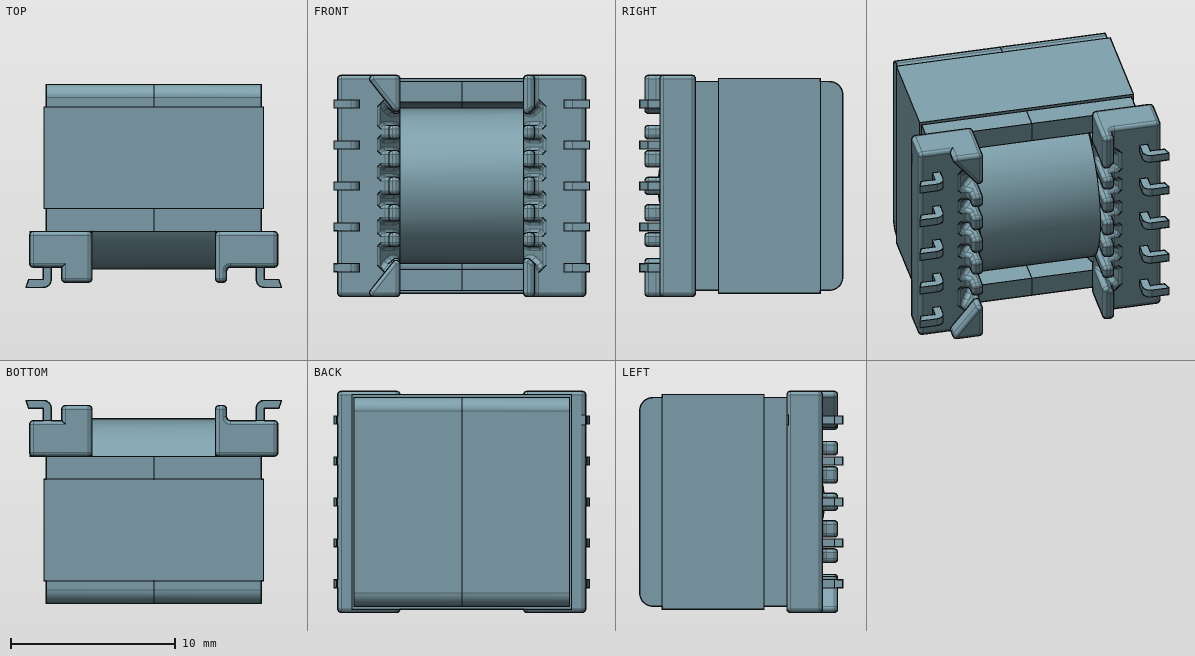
import cadquery as cq
import math


CORE_HALF_LENGTH = 6.57
CORE_HALF_HEIGHT = 6.36
CORE_BACK_Y = 6.54
CORE_FRONT_Y = -2.43
CORE_CORNER_RADIUS = 0.81
CAVITY_RADIUS = 5.1
POST_RADIUS = 2.18

TAPE_END_THICKNESS = 0.12
TAPE_SIDE_THICKNESS = 0.19
TAPE_BACK_Y = 5.16
TAPE_FRONT_Y = -1.05

COIL_RADIUS = 4.75
COIL_HALF_LENGTH = 3.76

TUBE_RADIUS = 2.65
FLANGE_RADIUS = 5.09
FLANGE_THICKNESS = 0.69
EDGE_RADIUS = 0.23
BLOCK_END_X = 7.57
BLOCK_HALF_HEIGHT = 6.747
BLOCK_FRONT_Y = -4.62
FOOT_Y = -5.54
TAB_WIDTH = 0.62
TAB_Z = 4.99
TAB_INSET = 0.03
WEDGE_OUTER_X = 5.87
WEDGE_TIP_Z = 4.1
WEDGE_ROOT_Y = -2.96

SLOT_OUTER_X = 5.02
SLOT_DEEP_Y = -2.96
SLOT_SPANS = [(0.53, 1.14), (2.15, 2.85)]
SLOT_SLOPE = (SLOT_DEEP_Y - BLOCK_FRONT_Y) / (SLOT_OUTER_X - COIL_HALF_LENGTH)
CORNER_SLOT_LOW_Z = 3.7
CORNER_SLOT_INNER_Z = 4.12
CORNER_SLOT_MOUTH_TOP_Z = 5.62
MOUTH_CORNER_SIZE = 0.22
CORNER_SLOT_MOUTH_CORNER_SIZE = 0.78
MOUTH_CORNER_DEPTH = 0.47
CORNER_SLOT_ANGLE = 42.0

PIN_THICKNESS = 0.5
PIN_PITCH = 2.5
PIN_COUNT = 5
PIN_INNER_X = 6.24
PIN_TIP_X = 7.8
PIN_TIP_SLANT = 0.17
PIN_BOTTOM_Y = -5.85

FLANGE_OUTER_X = COIL_HALF_LENGTH + FLANGE_THICKNESS
LEFT, RIGHT = -1, 1
TOLERANCE = 0.01


def x_cylinder(radius, start_x, end_x):
    return cq.Workplane("YZ").workplane(offset=start_x).circle(radius).extrude(end_x - start_x)


def box_between(x_range, y_range, z_range):
    size = [high - low for low, high in (x_range, y_range, z_range)]
    corner = cq.Vector(x_range[0], y_range[0], z_range[0])
    return cq.Workplane(cq.Solid.makeBox(*size, pnt=corner))


def mirror_x(shape):
    return shape.mirror("YZ")


def mirror_z(shape):
    return shape.mirror("XY")



def make_core_half(side):
    """Half of the core: a block with a U-shaped winding cavity and a round centre post."""
    core = box_between((0, CORE_HALF_LENGTH), (CORE_FRONT_Y, CORE_BACK_Y), (-CORE_HALF_HEIGHT, CORE_HALF_HEIGHT))
    core = core.edges("|X and >Y").fillet(CORE_CORNER_RADIUS)
    cavity = x_cylinder(CAVITY_RADIUS, 0, FLANGE_OUTER_X).union(
        box_between((0, FLANGE_OUTER_X), (CORE_FRONT_Y, 0), (-CAVITY_RADIUS, CAVITY_RADIUS))
    )
    core = core.cut(cavity).union(x_cylinder(POST_RADIUS, 0, CORE_HALF_LENGTH))
    return core if side == RIGHT else mirror_x(core)



def make_tape():
    width = TAPE_BACK_Y - TAPE_FRONT_Y
    outer_x = 2 * (CORE_HALF_LENGTH + TAPE_END_THICKNESS)
    outer_z = 2 * (CORE_HALF_HEIGHT + TAPE_SIDE_THICKNESS)
    return (
        cq.Workplane("XZ", origin=(0, TAPE_BACK_Y, 0))
        .rect(outer_x, outer_z)
        .rect(2 * CORE_HALF_LENGTH, 2 * CORE_HALF_HEIGHT)
        .extrude(width)
    )



def make_coil():
    coil = x_cylinder(COIL_RADIUS, -COIL_HALF_LENGTH, COIL_HALF_LENGTH)
    return coil.cut(x_cylinder(TUBE_RADIUS, -COIL_HALF_LENGTH, COIL_HALF_LENGTH))



def make_slot_cutter(low_z, high_z):
    margin = 0.78
    outline = [
        (COIL_HALF_LENGTH - margin, SLOT_DEEP_Y + margin * SLOT_SLOPE),
        (SLOT_OUTER_X, BLOCK_FRONT_Y),
        (SLOT_OUTER_X, FOOT_Y - margin),
        (COIL_HALF_LENGTH - margin, FOOT_Y - margin),
    ]
    return cq.Workplane("XY", origin=(0, 0, low_z)).polyline(outline).close().extrude(high_z - low_z)


def make_corner_slot_cutter():
    margin = 0.78
    rise = math.tan(math.radians(CORNER_SLOT_ANGLE))
    start_x = COIL_HALF_LENGTH - margin
    end_x = SLOT_OUTER_X + margin
    outline = [
        (start_x, CORNER_SLOT_LOW_Z),
        (end_x, CORNER_SLOT_LOW_Z),
        (end_x, CORNER_SLOT_INNER_Z + rise * (end_x - COIL_HALF_LENGTH)),
        (start_x, CORNER_SLOT_INNER_Z - rise * margin),
    ]
    wedge = cq.Workplane("XZ").polyline(outline).close().extrude(-2 * FOOT_Y, both=True)
    return make_slot_cutter(CORNER_SLOT_LOW_Z, BLOCK_HALF_HEIGHT).intersect(wedge)


def is_floor_side(edge):
    """True for straight edges that run up the sloped floor of a slot, where it meets a side wall."""
    if edge.geomType() != "LINE":
        return False
    run = edge.endPoint() - edge.startPoint()
    return abs(run.x) > TOLERANCE and abs(run.y / run.x + SLOT_SLOPE) < TOLERANCE


def make_mouth_corner(corner_z, size, direction):
    """Prism that cuts the corner of a slot mouth at 45 degrees; direction is the Z sense away from the slot."""
    overlap = 0.08
    mouth_x = SLOT_OUTER_X + EDGE_RADIUS * math.tan(math.atan(SLOT_SLOPE) / 2)
    outer_x = mouth_x + overlap
    outer_z = corner_z + direction * overlap
    leg = size + 2 * overlap
    return (
        cq.Workplane("XZ", origin=(0, BLOCK_FRONT_Y + MOUTH_CORNER_DEPTH, 0))
        .polyline([(outer_x, outer_z), (outer_x - leg, outer_z), (outer_x, outer_z - direction * leg)])
        .close()
        .extrude(MOUTH_CORNER_DEPTH)
    )


def make_mouth_corners():
    corners = [make_mouth_corner(CORNER_SLOT_MOUTH_TOP_Z, CORNER_SLOT_MOUTH_CORNER_SIZE, 1)]
    corners.append(make_mouth_corner(CORNER_SLOT_LOW_Z - EDGE_RADIUS, MOUTH_CORNER_SIZE, -1))
    for low_z, high_z in SLOT_SPANS:
        corners.append(make_mouth_corner(low_z - EDGE_RADIUS, MOUTH_CORNER_SIZE, -1))
        corners.append(make_mouth_corner(high_z + EDGE_RADIUS, MOUTH_CORNER_SIZE, 1))
    return corners


def make_wedge():
    """Tapered leg at the upper end of the left block; its root is sunk into the block."""
    outline = [
        (COIL_HALF_LENGTH, WEDGE_TIP_Z),
        (WEDGE_OUTER_X, BLOCK_HALF_HEIGHT),
        (COIL_HALF_LENGTH, BLOCK_HALF_HEIGHT),
    ]
    wedge = cq.Workplane("XZ", origin=(0, WEDGE_ROOT_Y, 0)).polyline(outline).close().extrude(WEDGE_ROOT_Y - FOOT_Y)
    return wedge.edges("|Y or <Y").fillet(EDGE_RADIUS)


def make_block(side):
    """End block with wire slots between pegs, full legs on the right, wedge-shaped legs on the left."""
    block = box_between(
        (COIL_HALF_LENGTH, BLOCK_END_X), (BLOCK_FRONT_Y, CORE_FRONT_Y), (-BLOCK_HALF_HEIGHT, BLOCK_HALF_HEIGHT)
    )
    leg_top_z = BLOCK_HALF_HEIGHT if side == RIGHT else CORNER_SLOT_LOW_Z
    legs = box_between((COIL_HALF_LENGTH, FLANGE_OUTER_X), (FOOT_Y, BLOCK_FRONT_Y), (-leg_top_z, leg_top_z))
    block = block.union(legs)
    cutters = [make_slot_cutter(*span) for span in SLOT_SPANS] + [make_corner_slot_cutter()]
    for cutter in cutters:
        block = block.cut(cutter).cut(mirror_z(cutter))
    rounded_edges = [edge for edge in block.edges().vals() if not is_floor_side(edge)]
    block = block.newObject(rounded_edges).fillet(EDGE_RADIUS)
    floor_sides = [edge for edge in block.edges().vals() if is_floor_side(edge)]
    block = block.newObject(floor_sides).fillet(EDGE_RADIUS)
    for corner in make_mouth_corners():
        block = block.union(corner).union(mirror_z(corner))
    if side == RIGHT:
        return block
    wedge = make_wedge()
    return mirror_x(block.union(wedge).union(mirror_z(wedge)))


def make_pin(side, z):
    """Gull-wing terminal: a post out of the block, a rounded bend and a slanted tip."""
    half = PIN_THICKNESS / 2
    outer_x = PIN_INNER_X + PIN_THICKNESS
    top_y = PIN_BOTTOM_Y + PIN_THICKNESS
    pin = (
        cq.Workplane("XY", origin=(0, 0, z - half))
        .moveTo(PIN_INNER_X, BLOCK_FRONT_Y)
        .lineTo(outer_x, BLOCK_FRONT_Y)
        .lineTo(outer_x, top_y)
        .lineTo(PIN_TIP_X - PIN_TIP_SLANT, top_y)
        .lineTo(PIN_TIP_X, PIN_BOTTOM_Y)
        .lineTo(outer_x, PIN_BOTTOM_Y)
        .radiusArc((PIN_INNER_X, top_y), PIN_THICKNESS)
        .close()
        .extrude(PIN_THICKNESS)
    )
    return pin if side == RIGHT else mirror_x(pin)


def make_orientation_tab():
    """Small square-edged patch that fills the rounded rear edge of the left block."""
    return box_between(
        (-BLOCK_END_X + TAB_INSET, -BLOCK_END_X + EDGE_RADIUS),
        (CORE_FRONT_Y - EDGE_RADIUS, CORE_FRONT_Y),
        (TAB_Z - TAB_WIDTH / 2, TAB_Z + TAB_WIDTH / 2),
    )


def make_bobbin():
    bobbin = x_cylinder(TUBE_RADIUS, -FLANGE_OUTER_X, FLANGE_OUTER_X)
    for side in (LEFT, RIGHT):
        flange = x_cylinder(FLANGE_RADIUS, COIL_HALF_LENGTH, FLANGE_OUTER_X)
        flange = flange.intersect(box_between(
            (COIL_HALF_LENGTH, FLANGE_OUTER_X), (CORE_FRONT_Y - EDGE_RADIUS, FLANGE_RADIUS), (-FLANGE_RADIUS, FLANGE_RADIUS)
        ))
        bobbin = bobbin.union(flange if side == RIGHT else mirror_x(flange))
        bobbin = bobbin.union(make_block(side))
        for index in range(PIN_COUNT):
            z = (index - (PIN_COUNT - 1) / 2) * PIN_PITCH
            bobbin = bobbin.union(make_pin(side, z))
    bobbin = bobbin.union(make_orientation_tab())
    return bobbin.cut(x_cylinder(POST_RADIUS, -FLANGE_OUTER_X, FLANGE_OUTER_X))


left_core = make_core_half(LEFT)
right_core = make_core_half(RIGHT)
tape = make_tape()
coil = make_coil()
bobbin = make_bobbin()

result = cq.Compound.makeCompound([
    left_core.val(),
    right_core.val(),
    tape.val(),
    coil.val(),
    bobbin.val(),
])